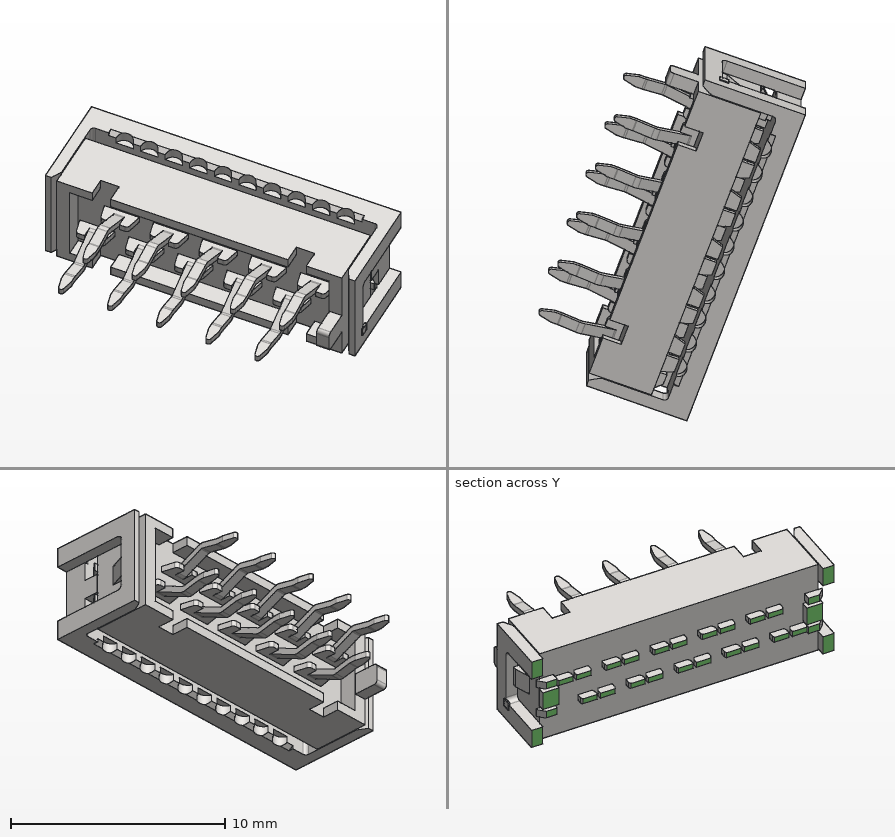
import cadquery as cq
import math


height = 5.0
top = height / 2
cap_width = 16.02
cap_half = cap_width / 2
pin_tip_y = -8.2

arm_thickness = 0.6
arm_inner_x = cap_half - arm_thickness
cap_plate_y = -1.2
arm_end_y = -5.0
arm_lead_in_x = 0.29
arm_lead_in_y = 0.51
cap_inner_radius = 0.2
window_half_z = 1.48
window_front_y = -4.13
window_radius = 0.24
web_inner_x = 6.55
web_half_z = 0.5
pad_height = 0.05
pad_size_y = 0.45
pad_size_z = 0.42
pad_y = -4.05
pad_z = -1.57

groove_radius = 0.47
groove_center_y = -1.33
groove_depth = 0.5
groove_bevel_y = 0.25
groove_bevel_z = 0.18

housing_half = 7.38
housing_back_y = -2.0
housing_front_y = -5.1
cavity_half_x = 6.7
cavity_half_z = 2.01
cavity_floor_y = -4.18
notch_width = 0.95
notch_x = 5.06
latch_half_z = 0.51
latch_height = 0.3
latch_start_y = -2.99
latch_crest_y = -3.8
latch_end_y = -4.0
post_inner_x = 6.65
post_outer_x = 7.57
post_back_y = -1.5
post_bevel = 0.43
post_bottom_z = 0.65
post_top_z = 1.05
peg_end_y = -6.5
peg_width = 0.65
peg_top_z = 0.02
peg_bottom_z = -1.1
peg_radius = 0.2

contact_count = 10
pitch = 1.27
contact_thickness = 0.3
blade_z = 0.75
blade_half = 1.82 / 2
blade_tip_half = 0.7
blade_back_y = -1.12
blade_shoulder_y = -1.74
blade_front_y = -5.01
blade_front_radius = 0.2
slot_half = 0.08
slot_mouth_half = 0.16
slot_flare_y = -1.83
relief_y = -4.4
pin_half = 0.53 / 2
pin_rise_y = -4.52
pin_peak_y = -6.15
pin_peak_z = 1.5
pin_level_y = -7.17
pin_end_z = 1.29
pin_bend_radius = 0.16
pin_taper_y = -7.52
pin_tip_half = 0.13
pin_tip_rounding = 0.1


def box(x0, x1, y0, y1, z0, z1):
    """Box between two opposite corners."""
    return cq.Workplane("XY").box(x1 - x0, y1 - y0, z1 - z0, centered=False).translate((x0, y0, z0))


def plate(points, z0, z1):
    """Closed XY outline extruded from z0 to z1."""
    return cq.Workplane("XY").workplane(offset=z0).polyline(points).close().extrude(z1 - z0)


def both_ends(solid):
    """The solid together with its mirror image at the other end of the connector."""
    return solid.union(solid.mirror("YZ"))


def contact_x(index):
    return (index - (contact_count - 1) / 2) * pitch


def cable_groove_cuts():
    """Bevelled inner edge and one round cable groove per contact, at the top of the cap."""
    bevel = (
        cq.Workplane("YZ")
        .workplane(offset=-web_inner_x)
        .moveTo(cap_plate_y + groove_bevel_y, top)
        .lineTo(cap_plate_y, top)
        .lineTo(cap_plate_y, top - groove_bevel_z)
        .close()
        .extrude(2 * web_inner_x)
    )
    centers = [(contact_x(i), groove_center_y) for i in range(contact_count)]
    grooves = (
        cq.Workplane("XY")
        .workplane(offset=top - groove_depth)
        .pushPoints(centers)
        .circle(groove_radius)
        .extrude(groove_depth)
    )
    return bevel.union(grooves)


def make_cap():
    """U-shaped cap with an open window in each arm and a web behind each housing end."""
    cap = box(-cap_half, cap_half, arm_end_y, 0, -top, top)
    opening = box(-arm_inner_x, arm_inner_x, arm_end_y, cap_plate_y, -top, top)
    cap = cap.cut(opening.edges("|Z and >Y").fillet(cap_inner_radius))

    lead_in = plate(
        [
            (arm_inner_x, arm_end_y),
            (arm_inner_x + arm_lead_in_x, arm_end_y),
            (arm_inner_x, arm_end_y + arm_lead_in_y),
        ],
        -top,
        top,
    )
    window = box(arm_inner_x, cap_half, window_front_y, 0, -window_half_z, window_half_z)
    window = window.edges("|X and <Y").fillet(window_radius)
    corner_x = arm_inner_x - cap_inner_radius
    corner = box(corner_x, cap_half, window_front_y, cap_plate_y, -window_half_z, window_half_z)
    window = window.union(corner.edges("|X and <Y").fillet(window_radius))
    cap = cap.cut(both_ends(lead_in)).cut(both_ends(window))

    grooves = cable_groove_cuts()
    cap = cap.cut(grooves).cut(grooves.mirror("XY"))

    web = box(web_inner_x, arm_inner_x, housing_back_y, cap_plate_y, -web_half_z, web_half_z)
    pad = cq.Workplane("XY").box(2 * pad_height, pad_size_y, pad_size_z)
    return cap.union(both_ends(web)).union(pad.translate((cap_half, pad_y, pad_z)))


def make_housing():
    """Block with a front cavity, four edge notches, end latches, guide posts and a locating peg."""
    housing = box(-housing_half, housing_half, housing_front_y, housing_back_y, -top, top)
    cavity = box(
        -cavity_half_x, cavity_half_x, housing_front_y, cavity_floor_y, -cavity_half_z, cavity_half_z
    )
    notch = box(
        notch_x - notch_width / 2, notch_x + notch_width / 2, housing_front_y, cavity_floor_y, -top, top
    )
    housing = housing.cut(cavity).cut(both_ends(notch))

    latch_x = housing_half + latch_height
    latch = plate(
        [
            (housing_half, latch_start_y),
            (latch_x, latch_crest_y),
            (latch_x, latch_end_y),
            (housing_half, latch_end_y),
        ],
        -latch_half_z,
        latch_half_z,
    )
    post = plate(
        [
            (post_inner_x, housing_back_y),
            (post_inner_x, post_back_y),
            (post_outer_x - post_bevel, post_back_y),
            (post_outer_x, post_back_y - post_bevel),
            (post_outer_x, housing_back_y),
        ],
        post_bottom_z,
        post_top_z,
    )
    housing = housing.union(both_ends(latch))
    housing = housing.union(both_ends(post)).union(both_ends(post.mirror("XY")))

    peg = box(housing_half - peg_width, housing_half, peg_end_y, cavity_floor_y, peg_bottom_z, peg_top_z)
    return housing.union(peg.edges("|X and <Y").fillet(peg_radius))


def make_blade():
    """Flat contact blade: tapered fork at the cable end, tapered shoulders beside the pin."""
    outline = [
        (blade_tip_half, blade_back_y),
        (blade_half, blade_shoulder_y),
        (blade_half, cavity_floor_y),
        (blade_tip_half, blade_front_y),
    ]
    mirrored = [(-x, y) for x, y in reversed(outline)]
    blade = plate(outline + mirrored, blade_z - contact_thickness / 2, blade_z + contact_thickness / 2)
    blade = blade.edges("|Z and <Y").fillet(blade_front_radius)

    slot = plate(
        [
            (slot_half, cap_plate_y),
            (slot_half, slot_flare_y),
            (slot_mouth_half, housing_back_y),
            (-slot_mouth_half, housing_back_y),
            (-slot_half, slot_flare_y),
            (-slot_half, cap_plate_y),
        ],
        0,
        top,
    )
    relief = box(-pin_half, pin_half, blade_front_y, relief_y, 0, top)
    return blade.cut(slot).cut(relief)


def strip_side(path, offset):
    """Path of (y, z) points moved sideways by the offset, with mitred corners."""
    angles = [math.atan2(b[1] - a[1], b[0] - a[0]) for a, b in zip(path, path[1:])]
    before = [angles[0]] + angles
    after = angles + [angles[-1]]
    side = []
    for (y, z), angle_in, angle_out in zip(path, before, after):
        middle = (angle_in + angle_out) / 2
        reach = offset / math.cos((angle_out - angle_in) / 2)
        side.append((y - reach * math.sin(middle), z + reach * math.cos(middle)))
    return side


def make_pin():
    """Bent solder pin rising from the blade, with a pointed tip."""
    path = [
        (pin_tip_y, pin_end_z),
        (pin_level_y, pin_end_z),
        (pin_peak_y, pin_peak_z),
        (pin_rise_y, blade_z),
        (cavity_floor_y, blade_z),
    ]
    upper = strip_side(path, contact_thickness / 2)
    lower = strip_side(path, -contact_thickness / 2)
    pin = cq.Workplane("YZ").polyline(upper + lower[::-1]).close().extrude(pin_half, both=True)
    for bend in range(1, len(path) - 1):
        is_peak = path[bend] == (pin_peak_y, pin_peak_z)
        outer, inner = (upper, lower) if is_peak else (lower, upper)
        outer_edge = cq.NearestToPointSelector((0, *outer[bend]))
        inner_edge = cq.NearestToPointSelector((0, *inner[bend]))
        pin = pin.edges(outer_edge).fillet(pin_bend_radius + contact_thickness)
        pin = pin.edges(inner_edge).fillet(pin_bend_radius)

    round_y = pin_tip_y + pin_tip_rounding
    envelope = (
        cq.Workplane("XY")
        .moveTo(pin_half, cavity_floor_y)
        .lineTo(pin_half, pin_taper_y)
        .lineTo(pin_tip_half, round_y)
        .threePointArc((0, pin_tip_y), (-pin_tip_half, round_y))
        .lineTo(-pin_half, pin_taper_y)
        .lineTo(-pin_half, cavity_floor_y)
        .close()
        .extrude(top)
    )
    return pin.intersect(envelope)


result = make_cap().union(make_housing())
upper_contact = make_blade().union(make_pin())
lower_contact = upper_contact.mirror("XY")
for i in range(contact_count):
    contact = upper_contact if i % 2 else lower_contact
    result = result.union(contact.translate((contact_x(i), 0, 0)))